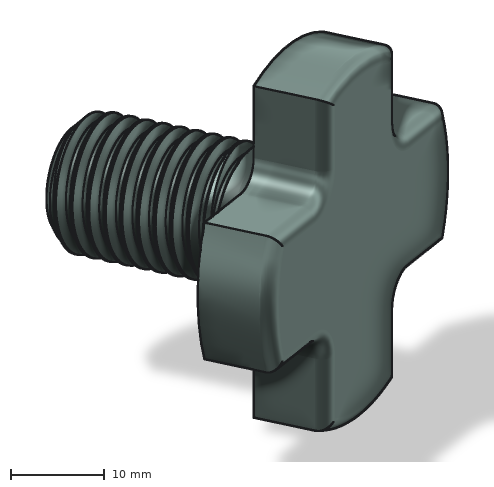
import cadquery as cq
import math

head_diameter = 42.0
head_thickness = 9.0
lug_width = 16.0
inner_corner_radius = 3.0
top_edge_radius = 1.6

shank_length = 26.03
shank_radius = 7.85
neck_fillet_radius = 3.0
tip_chamfer = 1.97

ten_turn_advance = 20.0
pitch = ten_turn_advance / 10
thread_depth = 1.1
root_flat = pitch / 4
flank_angle = 30.0
groove_turns = 10.5
groove_end = 20.55
runout_turns = 0.25
cutter_overrun = 0.1


def make_head():
    """A disc with a rounded rim, limited to a cross whose upper edges are rounded too."""
    disc = (
        cq.Workplane("YZ")
        .circle(head_diameter / 2)
        .extrude(head_thickness)
        .faces(">X")
        .edges()
        .fillet(top_edge_radius)
    )
    bar_length = head_diameter + 4 * top_edge_radius
    bar = cq.Workplane("YZ").rect(bar_length, lug_width).extrude(head_thickness)
    cross = (
        bar.union(bar.rotate((0, 0, 0), (1, 0, 0), 90))
        .edges(cq.selectors.BoxSelector((0, -lug_width, -lug_width), (head_thickness, lug_width, lug_width)))
        .edges("|X")
        .fillet(inner_corner_radius)
        .faces(">X")
        .edges()
        .fillet(top_edge_radius)
    )
    return disc.intersect(cross)


def make_shank():
    """Revolved shank with a chamfered tip and a concave flare into the head."""
    diagonal = neck_fillet_radius * math.sqrt(0.5)
    flare_radius = shank_radius + neck_fillet_radius
    embed = head_thickness / 2
    return (
        cq.Workplane("XY")
        .moveTo(-shank_length, 0)
        .lineTo(-shank_length, shank_radius - tip_chamfer)
        .lineTo(-shank_length + tip_chamfer, shank_radius)
        .lineTo(-neck_fillet_radius, shank_radius)
        .threePointArc(
            (-neck_fillet_radius + diagonal, flare_radius - diagonal),
            (0, flare_radius),
        )
        .lineTo(embed, flare_radius)
        .lineTo(embed, 0)
        .close()
        .revolve(360, (0, 0, 0), (1, 0, 0))
    )


def groove_cutter(turns, cone_angle=0):
    """Sweep the groove section along a helix about Z that starts on +X."""
    root_radius = shank_radius - thread_depth
    outer_radius = shank_radius + cutter_overrun
    root_half = root_flat / 2
    outer_half = root_half + (outer_radius - root_radius) * math.tan(math.radians(flank_angle))
    slant = 1 / math.cos(math.radians(cone_angle))
    helix_pitch = pitch * slant
    cone = {"angle": cone_angle} if cone_angle else {}
    path = cq.Wire.makeHelix(helix_pitch, turns * helix_pitch, root_radius, **cone)
    return (
        cq.Workplane("XZ")
        .polyline(
            [
                (root_radius, -root_half),
                (outer_radius, -outer_half),
                (outer_radius, outer_half),
                (root_radius, root_half),
            ]
        )
        .close()
        .sweep(cq.Workplane(path), isFrenet=True)
    )


def place_cutter(cutter, tip_distance, turn):
    """Turn a cutter about its axis, lay the axis along +X and set its start."""
    return (
        cutter.rotate((0, 0, 0), (0, 0, 1), turn)
        .rotate((0, 0, 0), (0, 1, 0), 90)
        .translate((tip_distance - shank_length, 0, 0))
    )


def cut_thread(body):
    full_groove = place_cutter(groove_cutter(groove_turns), groove_end - groove_turns * pitch, 0)

    climb = thread_depth + cutter_overrun
    runout_angle = math.degrees(math.atan(climb / (runout_turns * pitch)))
    runout = place_cutter(groove_cutter(runout_turns, runout_angle), groove_end, 180)
    return body.cut(full_groove).cut(runout)


result = cut_thread(make_shank()).union(make_head())